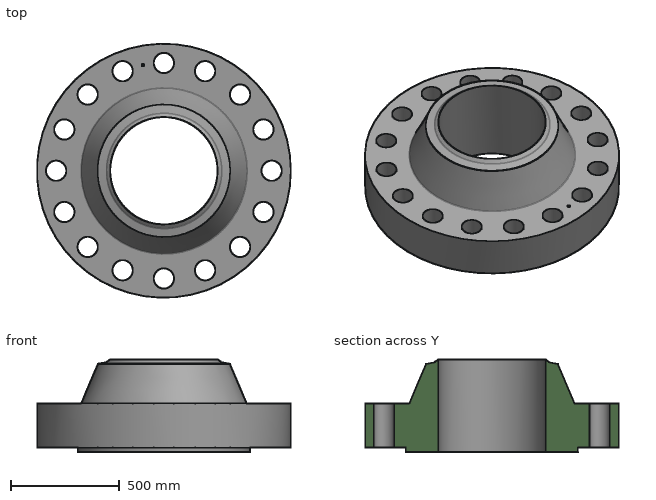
import cadquery as cq
import math

overall_height = 427.05
raised_face_height = 20.65
flange_thickness = 203.2
flange_top = raised_face_height + flange_thickness

flange_diameter = 1168.4
raised_face_diameter = 793.75
hub_base_diameter = 762.0
hub_end_diameter = 609.6
bore_diameter = 492.0

land_width = 1.6
steep_bevel_reach = 19.05
steep_bevel_angle = 37.5
shallow_bevel_angle = 10.0

hub_end_band = 3.5

hub_foot_blend = 3.0
bevel_break_blend = 5.0

selection_margin = 0.1

bolt_circle_diameter = 990.6
bolt_hole_count = 16
bolt_hole_diameter = 92.1
bolt_spacing_angle = 360.0 / bolt_hole_count

small_hole_diameter = 7.0
countersink_diameter = 12.0
countersink_taper = 45.0
countersink_width = (countersink_diameter - small_hole_diameter) / 2
countersink_depth = countersink_width / math.tan(math.radians(countersink_taper))
small_hole_depth = 25.0
small_hole_angle = 90.0 + bolt_spacing_angle / 2


def rise(run, angle):
    """Height gained over a horizontal run at an angle from the horizontal."""
    return run * math.tan(math.radians(angle))


def circle_at(radius, z):
    """Selector for the circular edge about Z with this radius and height."""
    half = radius + selection_margin
    low_corner = (-half, -half, z - selection_margin)
    high_corner = (half, half, z + selection_margin)
    return cq.selectors.BoxSelector(low_corner, high_corner, boundingbox=True)


def turned_body():
    """Raised face, flange, conical hub and weld bevel revolved about Z, corners blended."""
    bore_radius = bore_diameter / 2
    raised_face_radius = raised_face_diameter / 2
    flange_radius = flange_diameter / 2
    hub_base_radius = hub_base_diameter / 2
    hub_end_radius = hub_end_diameter / 2

    land_radius = bore_radius + land_width
    bevel_break_radius = bore_radius + steep_bevel_reach
    bevel_break_z = overall_height - rise(bevel_break_radius - land_radius, steep_bevel_angle)
    hub_end_z = bevel_break_z - rise(hub_end_radius - bevel_break_radius, shallow_bevel_angle)

    profile = (
        cq.Workplane("XZ")
        .moveTo(bore_radius, 0)
        .lineTo(raised_face_radius, 0)
        .lineTo(raised_face_radius, raised_face_height)
        .lineTo(flange_radius, raised_face_height)
        .lineTo(flange_radius, flange_top)
        .lineTo(hub_base_radius, flange_top)
        .lineTo(hub_end_radius, hub_end_z - hub_end_band)
        .lineTo(hub_end_radius, hub_end_z)
        .lineTo(bevel_break_radius, bevel_break_z)
        .lineTo(land_radius, overall_height)
        .lineTo(bore_radius, overall_height)
        .close()
    )
    body = profile.revolve(360, (0, 0, 0), (0, 1, 0))
    body = body.edges(circle_at(hub_base_radius, flange_top)).fillet(hub_foot_blend)
    body = body.edges(circle_at(bevel_break_radius, bevel_break_z)).fillet(bevel_break_blend)
    return body


def on_bolt_circle(start_angle, count):
    """Workplane on the flange top with evenly spaced points on the bolt circle."""
    flange_top_plane = cq.Workplane("XY", origin=(0, 0, flange_top))
    return flange_top_plane.polarArray(bolt_circle_diameter / 2, start_angle, 360, count)


def bolt_holes():
    """Ring of straight holes through the flange."""
    return on_bolt_circle(0, bolt_hole_count).circle(bolt_hole_diameter / 2).extrude(-flange_thickness)


def small_hole():
    """Blind drilled hole widened to a cone at its mouth."""
    drilling = on_bolt_circle(small_hole_angle, 1).circle(small_hole_diameter / 2).extrude(-small_hole_depth)
    countersink = (
        on_bolt_circle(small_hole_angle, 1)
        .circle(countersink_diameter / 2)
        .extrude(-countersink_depth, taper=countersink_taper)
    )
    return drilling.union(countersink)


result = turned_body().cut(bolt_holes()).cut(small_hole())